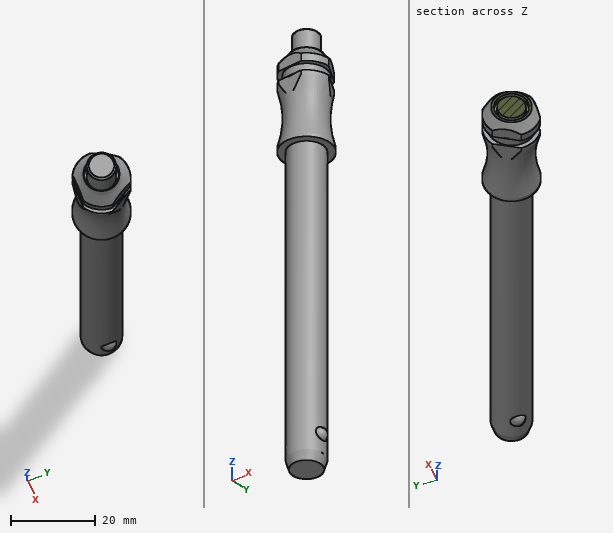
import cadquery as cq

total_length = 122.7
handle_bottom = 89.7
tip_taper_height = 2.6
ball_height = 8.0

button_length = 6.0
cap_collar_height = 1.1
cap_cone_height = 2.3
cap_rim_height = 2.2
groove_width = 2.6
handle_rim_height = 1.0

shank_radius = 5.0
tip_radius = 4.2
handle_radius = 7.0
waist_radius = 5.75
groove_radius = 5.8
cap_top_radius = 4.3
cap_collar_radius = 5.0
button_radius = 3.5

button_bore_radius = 4.1
button_bore_depth = 2.0
button_chamfer = 0.5

ball_radius = 2.0
ball_reach = 6.1

full_turn = 360
flat_count = 3
flat_distance = 6.05

cap_top = total_length - button_length
cap_collar_bottom = cap_top - cap_collar_height
cap_rim_top = cap_collar_bottom - cap_cone_height
cap_bottom = cap_rim_top - cap_rim_height
handle_top = cap_bottom - groove_width
waist_top = handle_top - handle_rim_height
waist_bottom = handle_bottom + handle_rim_height
waist_height = (waist_top + waist_bottom) / 2


def turned_body():
    """Shank, waisted handle, grooved cap and push button, turned about Z."""
    profile = (
        cq.Workplane("XZ")
        .moveTo(0, 0)
        .lineTo(-tip_radius, 0)
        .lineTo(-shank_radius, tip_taper_height)
        .lineTo(-shank_radius, handle_bottom)
        .lineTo(-handle_radius, handle_bottom)
        .lineTo(-handle_radius, waist_bottom)
        .threePointArc((-waist_radius, waist_height), (-handle_radius, waist_top))
        .lineTo(-handle_radius, handle_top)
        .lineTo(-groove_radius, handle_top)
        .lineTo(-groove_radius, cap_bottom)
        .lineTo(-handle_radius, cap_bottom)
        .lineTo(-handle_radius, cap_rim_top)
        .lineTo(-cap_collar_radius, cap_collar_bottom)
        .lineTo(-cap_top_radius, cap_top)
        .lineTo(-button_bore_radius, cap_top)
        .lineTo(-button_bore_radius, cap_top - button_bore_depth)
        .lineTo(-button_radius, cap_top - button_bore_depth)
        .lineTo(-button_radius, total_length - button_chamfer)
        .lineTo(-(button_radius - button_chamfer), total_length)
        .lineTo(0, total_length)
        .close()
    )
    return profile.revolve(full_turn, (0, 0, 0), (0, 1, 0))


def flat_cutter(index):
    """Block outside one grip flat; the first flat faces -Y."""
    depth = handle_radius - flat_distance
    height = cap_top - waist_height
    return (
        cq.Workplane("XY")
        .box(2 * handle_radius, depth, height, centered=(True, False, False))
        .translate((0, -handle_radius, waist_height))
        .rotate((0, 0, 0), (0, 0, 1), index * full_turn / flat_count)
    )


def locking_ball(side):
    """Ball standing out of the shank on the +X or -X side."""
    ball_offset = side * (ball_reach - ball_radius)
    return cq.Workplane("XY").sphere(ball_radius).translate((ball_offset, 0, ball_height))


result = turned_body()
for flat_index in range(flat_count):
    result = result.cut(flat_cutter(flat_index))
for ball_side in (-1, 1):
    result = result.union(locking_ball(ball_side))